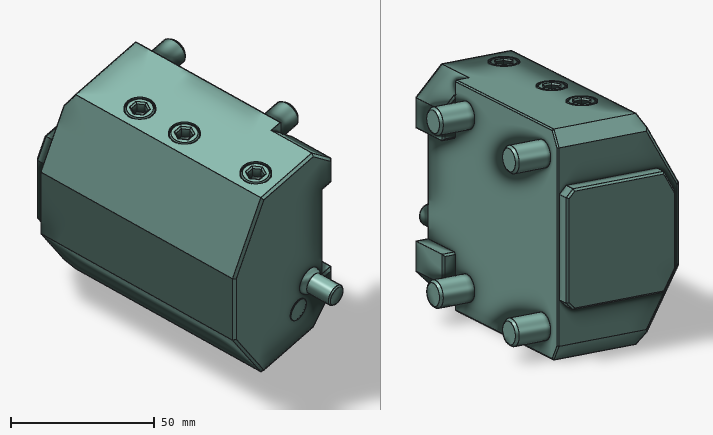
import cadquery as cq
import math


body_length = 87.2
body_depth = 50.0
half_height = 42.5
front_flat_half = 15.0
slope_angle = 60
slope_ratio = math.tan(math.radians(slope_angle))
corner_bevel = 3.5
nose_bevel = 0.6
back_chamfer = 0.5
end_chamfer = 0.9

plate_thickness = 5.2
plate_half_height = 22.2
plate_back = -0.6
plate_front = -45.4
plate_flat_half = 14.1
plate_corner = 2.8
plate_chamfer = 0.7

key_left = 68.1
key_height = 5.0
key_inner_z = 20.9
key_chamfer = 0.7
corner_cut = 5.6

pin_diameter = 10.2
pin_length = 14.0
pin_xs = (9.9, 60.3)
pin_z = 31.8
pin_end_chamfer = 1.0
pin_end_inset = 0.8

screw_xs = (25.3, 45.2, 77.1)
screw_y = -25.5
screw_hole_radius = 5.6
screw_head_radius = 5.2
screw_rim_radius = 4.7
screw_groove_depth = 0.7
hex_mouth = 6.4
hex_width = 5.1
hex_lead_in = 0.6
hex_depth = 4.2
hex_tip_depth = 1.7

stud_y = -8.4
stud_z = -17.0
stud_radius = 4.0
stud_length = 12.5
stud_tip_chamfer = 0.6
stud_tip_inset = 0.4
collar_radius = 5.2
collar_length = 2.2
collar_bulge = 0.3
disc_y = -14.6
disc_z = -26.3
disc_radius = 4.3
disc_thickness = 0.4


def mirrored_outline(upper):
    """Close an outline in the YZ plane from its upper half and the mirror image of that half."""
    lower = [(y, -z) for y, z in reversed(upper)]
    return cq.Workplane("YZ").polyline(upper + lower).close()


def body_outline(back_points):
    """Housing section; back_points run from the back to the top face of the upper half."""
    slope_start = -body_depth + (half_height - front_flat_half) / slope_ratio
    return mirrored_outline(back_points + [(slope_start, half_height), (-body_depth, front_flat_half)])


def make_left_housing():
    inset = nose_bevel * slope_ratio
    nose = body_outline([(inset, half_height)]).offset2D(-inset).extrude(nose_bevel, taper=-slope_angle)
    main = body_outline([(0, half_height)]).extrude(key_left - nose_bevel).translate((nose_bevel, 0, 0))
    bevel_z = half_height - corner_bevel * slope_ratio
    side_outline = [
        (0, -bevel_z), (corner_bevel, -half_height), (key_left, -half_height),
        (key_left, half_height), (corner_bevel, half_height), (0, bevel_z),
    ]
    envelope = cq.Workplane("XZ").polyline(side_outline).close().extrude(body_depth)
    envelope = envelope.faces(">Y").edges("not >X").chamfer(back_chamfer)
    return nose.union(main).intersect(envelope)


key_inner_edge = [(0, key_inner_z), (key_height, key_inner_z)]
key_outer_corner = (key_height, half_height - corner_cut - key_height)


def make_key_bevel():
    """Material to remove so that the left end of the upper key is bevelled."""
    outline = key_inner_edge + [key_outer_corner, (0, half_height - corner_cut)]
    key = cq.Workplane("YZ").polyline(outline).close().extrude(2 * key_chamfer)
    return key.cut(key.faces("<X").edges("not <Y").chamfer(key_chamfer))


def make_right_housing():
    """Section with a key standing above each 45 degree back corner, bevelled round its end face."""
    back_points = key_inner_edge + [key_outer_corner, (-corner_cut, half_height)]
    section = body_outline(back_points).extrude(body_length - key_left)
    section = section.faces(">X").chamfer(end_chamfer)
    key_bevel = make_key_bevel()
    section = section.cut(key_bevel).cut(key_bevel.mirror("XY"))
    return section.translate((key_left, 0, 0))


def make_plate():
    slope_start = plate_front + (plate_half_height - plate_flat_half) / slope_ratio
    upper = [
        (plate_back, plate_half_height - plate_corner), (plate_back - plate_corner, plate_half_height),
        (slope_start, plate_half_height), (plate_front, plate_flat_half),
    ]
    plate = mirrored_outline(upper).extrude(-plate_thickness)
    return plate.faces("<X").chamfer(plate_chamfer)


def make_pin(x, z):
    radius = pin_diameter / 2
    half_section = [
        (0, 0), (radius, 0), (radius, pin_length - pin_end_chamfer),
        (radius - pin_end_inset, pin_length), (0, pin_length),
    ]
    pin = cq.Workplane("XY").polyline(half_section).close().revolve(360, (0, 0), (0, 1))
    return pin.translate((x, 0, z))


def corner_diameter(across_flats):
    return across_flats / math.cos(math.pi / 6)


def hexagon(across_flats):
    """Hexagon with corners toward +Y and -Y."""
    return cq.Workplane("XY").transformed(rotate=(0, 0, 90)).polygon(6, corner_diameter(across_flats))


def make_screw_cut():
    """Groove round a flush screw head and its hexagon socket, with the head face at Z = 0."""
    groove_section = [
        (screw_rim_radius, 0), (screw_head_radius, -screw_groove_depth),
        (screw_hole_radius, -screw_groove_depth), (screw_hole_radius, 0),
    ]
    groove = cq.Workplane("XZ").polyline(groove_section).close().revolve(360, (0, 0), (0, 1))
    lead_in_taper = math.degrees(math.atan((hex_mouth - hex_width) / 2 / hex_lead_in))
    lead_in = hexagon(hex_mouth).extrude(-hex_lead_in, taper=lead_in_taper)
    socket = hexagon(hex_width).extrude(-hex_depth - hex_tip_depth)
    tip_radius = corner_diameter(hex_width) / 2
    drill_section = [
        (0, 0), (tip_radius, 0), (tip_radius, -hex_depth), (0, -hex_depth - hex_tip_depth),
    ]
    drill = cq.Workplane("XZ").polyline(drill_section).close().revolve(360, (0, 0), (0, 1))
    return groove.union(lead_in).union(socket.intersect(drill))


def make_stud():
    cone_angle = math.atan2(collar_radius - stud_radius, collar_length)
    dome_point = (
        collar_length / 2 + collar_bulge * math.sin(cone_angle),
        (collar_radius + stud_radius) / 2 + collar_bulge * math.cos(cone_angle),
    )
    stud = (
        cq.Workplane("XY")
        .lineTo(0, collar_radius)
        .threePointArc(dome_point, (collar_length, stud_radius))
        .lineTo(stud_length - stud_tip_chamfer, stud_radius)
        .lineTo(stud_length, stud_radius - stud_tip_inset)
        .lineTo(stud_length, 0)
        .close()
        .revolve(360, (0, 0), (1, 0))
    )
    return stud.translate((body_length, stud_y, stud_z))


def make_disc():
    end_plane = cq.Workplane("YZ", origin=(body_length, disc_y, disc_z))
    return end_plane.circle(disc_radius).extrude(disc_thickness)


body = make_left_housing().union(make_right_housing())

screw_cut = make_screw_cut()
for x in screw_xs:
    body = body.cut(screw_cut.translate((x, screw_y, half_height)))

for x in pin_xs:
    for z in (pin_z, -pin_z):
        body = body.union(make_pin(x, z))

result = body.union(make_plate()).union(make_stud()).union(make_disc())